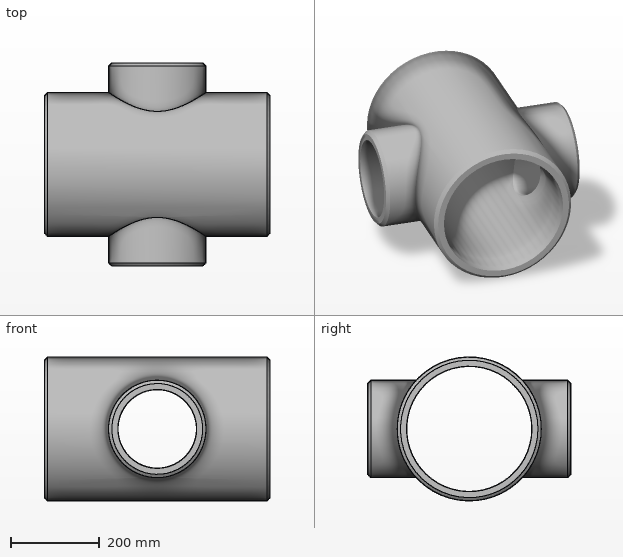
import cadquery as cq

run_length = 508.0
run_diameter = 323.85
run_wall = 21.4

branch_span = 457.2
branch_diameter = 219.075
branch_wall = 21.4

end_chamfer = 7.5


def centred_cylinder(plane, diameter, length):
    """Solid cylinder along the plane's normal, centred on the origin."""
    return cq.Workplane(plane).circle(diameter / 2).extrude(length / 2, both=True)


def chamfered_bar(plane, diameter, length):
    """Centred cylinder with both end edges chamfered."""
    ends = centred_cylinder(plane, diameter, length).faces("%PLANE").edges()
    return ends.chamfer(end_chamfer)


run = chamfered_bar("YZ", run_diameter, run_length)
branch = chamfered_bar("XZ", branch_diameter, branch_span)
body = run.union(branch)

run_bore = centred_cylinder("YZ", run_diameter - 2 * run_wall, run_length)
branch_bore = centred_cylinder("XZ", branch_diameter - 2 * branch_wall, branch_span)

result = body.cut(run_bore).cut(branch_bore)